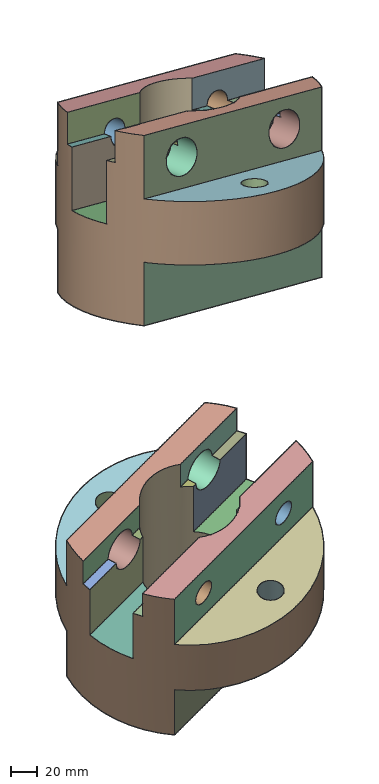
import cadquery as cq

outer_diameter = 200.0
height = 150.0
bore_diameter = 75.0

block_width = 100.0
flange_bottom = 50.0
flange_top = 100.0
flange_hole_diameter = 20.0
flange_hole_offset = 75.0

slot_width = 40.0
slot_floor = 75.0
upper_slot_width = 55.0
ledge_height = 125.0

small_cross_hole_diameter = 20.0
cross_hole_offset = 50.0
cross_hole_points = [(-cross_hole_offset, ledge_height), (cross_hole_offset, ledge_height)]
large_cross_hole_diameter = 30.0


def slot(width, floor):
    """Cutter running the full length of Y, open at the top."""
    depth = height - floor
    return cq.Workplane("XY").box(width, outer_diameter, depth, (True, True, False)).translate((0, 0, floor))


def cross_holes(diameter, start_x, end_x):
    """Pair of cylinders along X between two X positions."""
    plane = cq.Workplane("YZ", origin=(start_x, 0, 0))
    return plane.pushPoints(cross_hole_points).circle(diameter / 2).extrude(end_x - start_x)


envelope = cq.Workplane("XY").circle(outer_diameter / 2).extrude(height)
block = envelope.intersect(
    cq.Workplane("XY").box(block_width, outer_diameter, height, (True, True, False))
)

flange = (
    cq.Workplane("XY", origin=(0, 0, flange_bottom))
    .circle(outer_diameter / 2)
    .extrude(flange_top - flange_bottom)
    .faces(">Z")
    .workplane()
    .pushPoints([(-flange_hole_offset, 0), (flange_hole_offset, 0)])
    .hole(flange_hole_diameter)
)

body = block.union(flange)
body = body.cut(cq.Workplane("XY").circle(bore_diameter / 2).extrude(height))
body = body.cut(slot(slot_width, slot_floor))
body = body.cut(slot(upper_slot_width, ledge_height))

body = body.cut(cross_holes(small_cross_hole_diameter, -block_width / 2, 0))
result = body.cut(cross_holes(large_cross_hole_diameter, 0, block_width / 2))